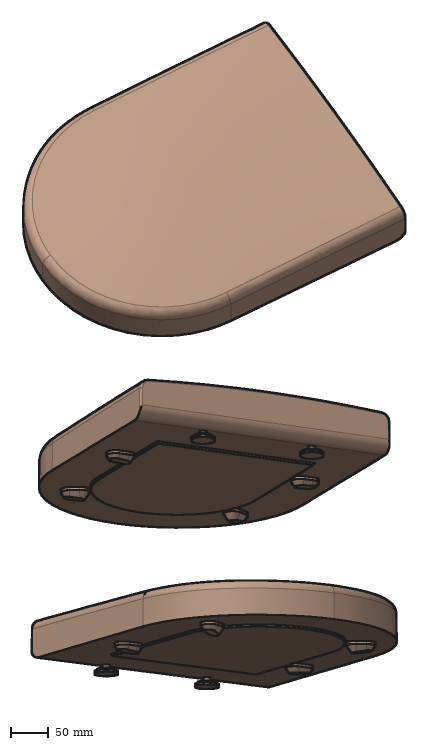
import cadquery as cq
import math


LENGTH = 459.5
WIDTH = 374.0
NOSE = 184.5
BACK = LENGTH - NOSE
DRAFT = 0.8
BLANK_HEIGHT = 73.5
TOP_EDGE_RADIUS = 13.5
BACK_BOTTOM_RADIUS = 17.5
BACK_EDGE_RADIUS = 2.8

DOME_ARCS = [
    (BACK, 61.0, 54.5),
    (110.5, 63.0, 53.5),
    (0.0, 61.0, 51.5),
    (-115.0, 54.0, 47.0),
    (-NOSE, 48.0, 40.0),
]
DOME_SIDE = 174.5

PLATE_RADIUS = 117.5
PLATE_BACK = 184.0
PLATE_THICKNESS = 2.8
PLATE_TAPER = 30.0

BUMPER_LENGTH = 39.5
BUMPER_WIDTH = 25.7
BUMPER_RIM = 4.0
BUMPER_TAPER = 35.0
REAR_BUMPER_X = 138.0
REAR_BUMPER_Y = 110.5
REAR_BUMPER_DEPTHS = (9.0, 12.5)
FRONT_BUMPER_CIRCLE = 138.0
FRONT_BUMPER_ANGLE = 29.5
FRONT_BUMPER_DEPTHS = (10.0, 15.5)
BUMPER_CONE_DEPTH = max(FRONT_BUMPER_DEPTHS) - BUMPER_RIM

HINGE_X = 81.5
HINGE_Y = 250.0
HINGE_DEPTH = 12.5
POST_DIAMETER = 10.5
FOOT_STEPS = [(32.0, 3.5), (27.5, 1.5), (25.0, 1.5)]


def d_outline(half_width, nose, back):
    """Straight back and sides closed by an elliptical nose toward -Y."""
    outline = cq.Workplane("XY").moveTo(half_width, 0).lineTo(half_width, back)
    outline = outline.lineTo(-half_width, back).lineTo(-half_width, 0)
    return outline.ellipseArc(half_width, nose, 180, 360, startAtCurrent=True).close()


def dome_section(y, middle, side):
    """Closed section across the width whose lower edge is one arc of the dome."""
    radius = (DOME_SIDE**2 + (middle - side) ** 2) / (2 * (middle - side))
    reach = WIDTH / 2 + 4.5
    end = middle - radius + math.sqrt(radius**2 - reach**2)
    ceiling = BLANK_HEIGHT + 4.5
    arc = cq.Edge.makeThreePointArc(
        cq.Vector(-reach, y, end), cq.Vector(0, y, middle), cq.Vector(reach, y, end)
    )
    corners = [(reach, y, end), (reach, y, ceiling), (-reach, y, ceiling), (-reach, y, end)]
    return cq.Wire.assembleEdges([arc, *cq.Wire.makePolygon([cq.Vector(c) for c in corners]).Edges()])


def back_corner():
    """Waste outside the rounded lower back edge, across the whole width."""
    radius = BACK_BOTTOM_RADIUS
    middle = (BACK - radius * (1 - math.sqrt(0.5)), radius * (1 - math.sqrt(0.5)))
    waste = cq.Workplane("YZ").moveTo(BACK - radius, 0).threePointArc(middle, (BACK, radius))
    return waste.lineTo(BACK, 0).close().extrude(WIDTH, both=True)


def make_lid():
    """Drafted blank under a lofted dome, with rounded top, back and lower back edges."""
    overrun = 4.5
    blank = d_outline(WIDTH / 2, NOSE, BACK + overrun).extrude(BLANK_HEIGHT, taper=DRAFT)
    back_section = (BACK + overrun, *DOME_ARCS[0][1:])
    nose_section = (-NOSE - overrun, *DOME_ARCS[-1][1:])
    stations = [back_section, *DOME_ARCS[1:-1], nose_section]
    over_dome = cq.Solid.makeLoft([dome_section(*station) for station in stations])
    behind = cq.Workplane("XY").box(2 * WIDTH, LENGTH, 4 * BLANK_HEIGHT, centered=(True, False, True))
    lid = blank.cut(cq.Workplane(over_dome)).cut(behind.translate((0, BACK, 0)))

    in_front = cq.selectors.BoxSelector((-WIDTH, -LENGTH, 4.5), (WIDTH, BACK - 4.5, BLANK_HEIGHT))
    lid = lid.faces(">Z").edges(in_front).fillet(TOP_EDGE_RADIUS)
    lid = lid.faces(">Y").edges("not <Z").fillet(BACK_EDGE_RADIUS)
    return lid.cut(back_corner())


def make_plate():
    """Thin D-shaped plate with sloping rim, flat against the lid."""
    outline = d_outline(PLATE_RADIUS, PLATE_RADIUS, PLATE_BACK)
    return outline.extrude(-PLATE_THICKNESS, taper=PLATE_TAPER)


def make_bumper(x, y, angle, depths):
    """Tapered pad, long toward `angle`; its sloping tip is deepest at the inner end."""
    outer_depth, inner_depth = depths
    rim = cq.Workplane("XY").slot2D(BUMPER_LENGTH, BUMPER_WIDTH).extrude(-BUMPER_RIM)
    cone = cq.Workplane("XY").workplane(offset=-BUMPER_RIM).slot2D(BUMPER_LENGTH, BUMPER_WIDTH)
    pad = rim.union(cone.extrude(-BUMPER_CONE_DEPTH, taper=BUMPER_TAPER))
    end = BUMPER_LENGTH / 2
    profile = [(-end, 0), (end, 0), (end, -outer_depth), (-end, -inner_depth)]
    wedge = cq.Workplane("XZ").polyline(profile).close().extrude(BUMPER_WIDTH, both=True)
    return pad.intersect(wedge).rotate((0, 0, 0), (0, 0, 1), angle).translate((x, y, 0))


def make_hinge(x):
    """Round post, hanging from the lid, that carries a stepped foot."""
    hinge = cq.Workplane("XY").circle(POST_DIAMETER / 2).extrude(-HINGE_DEPTH)
    bottom = -HINGE_DEPTH
    for diameter, height in FOOT_STEPS:
        step = cq.Workplane("XY").workplane(offset=bottom).circle(diameter / 2).extrude(height)
        hinge = hinge.union(step)
        bottom += height
    return hinge.translate((x, HINGE_Y, 0))


lid = make_lid()
plate = make_plate()

front_x = FRONT_BUMPER_CIRCLE * math.cos(math.radians(FRONT_BUMPER_ANGLE))
front_y = -FRONT_BUMPER_CIRCLE * math.sin(math.radians(FRONT_BUMPER_ANGLE))
bumpers = []
for side in (-1, 1):
    outward = 0 if side > 0 else 180
    front_angle = outward - side * FRONT_BUMPER_ANGLE
    bumpers.append(make_bumper(side * REAR_BUMPER_X, REAR_BUMPER_Y, outward, REAR_BUMPER_DEPTHS))
    bumpers.append(make_bumper(side * front_x, front_y, front_angle, FRONT_BUMPER_DEPTHS))

hinges = [make_hinge(x) for x in (-HINGE_X, HINGE_X)]

parts = [lid, plate, *bumpers, *hinges]
result = cq.Compound.makeCompound([part.solids().val() for part in parts])